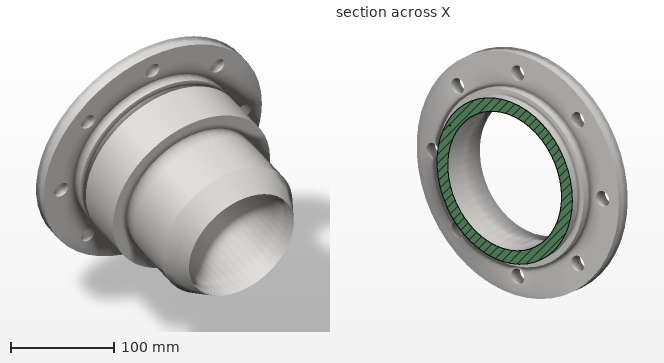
import cadquery as cq

flange_start = 15.2
flange_end = 29.0
groove_start = 39.8
groove_end = 49.8
collar_end = 98.8
taper_start = 163.8
total_length = 188.8

spigot_diameter = 164.0
flange_diameter = 250.0
collar_diameter = 180.0
groove_diameter = 168.0
tube_diameter = 149.0
tip_diameter = 120.0
bore_diameter = 140.0
outlet_diameter = tip_diameter

bore_depth = 60.5

hole_count = 8
hole_diameter = 16.0
bolt_circle_diameter = 210.0


def cylinder(diameter, start, end):
    """Solid cylinder about the X axis between two axial stations."""
    return cq.Workplane("YZ", origin=(start, 0, 0)).circle(diameter / 2).extrude(end - start)


def tapered_nose():
    """Cone that narrows from the tube to the tip."""
    profile = [
        (taper_start, 0),
        (taper_start, tube_diameter / 2),
        (total_length, tip_diameter / 2),
        (total_length, 0),
    ]
    return cq.Workplane("XY").polyline(profile).close().revolve(360, (0, 0, 0), (1, 0, 0))


def bolt_holes():
    """Ring of holes through the flange, the first one on the Y axis."""
    return (
        cq.Workplane("YZ", origin=(flange_start, 0, 0))
        .polarArray(bolt_circle_diameter / 2, 0, 360, hole_count)
        .circle(hole_diameter / 2)
        .extrude(flange_end - flange_start)
    )


body = (
    cylinder(spigot_diameter, 0, flange_start)
    .union(cylinder(flange_diameter, flange_start, flange_end))
    .union(cylinder(collar_diameter, flange_end, groove_start))
    .union(cylinder(groove_diameter, groove_start, groove_end))
    .union(cylinder(collar_diameter, groove_end, collar_end))
    .union(cylinder(tube_diameter, collar_end, taper_start))
    .union(tapered_nose())
)

result = (
    body.cut(cylinder(outlet_diameter, 0, total_length))
    .cut(cylinder(bore_diameter, 0, bore_depth))
    .cut(bolt_holes())
)